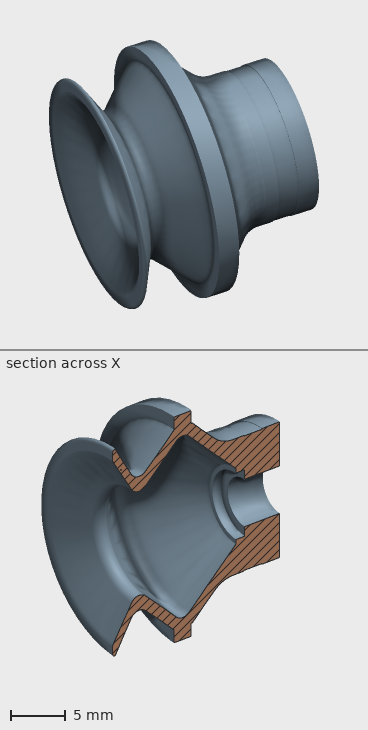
import cadquery as cq
import math


total_length = 19.0
collar_band_width = 2.0
flange_front = 7.0
flange_back = 9.0
flange_seat_width = 0.1
neck_y = 3.05
inner_lip_width = 0.1

flange_radius = 12.0
collar_radius = 7.22
relief_radius = 7.15
cone_base_radius = 10.63
neck_radius = 7.13
lip_radius = 11.0
lip_face_inner_radius = 9.82
inner_neck_radius = 5.5
cavity_end_radius = 4.0
counterbore_radius = 3.5
bore_radius = 2.5

lip_edge_round = 0.34
neck_round = 1.0
shoulder_round = 3.0
cavity_round = 1.0
bellows_angle = math.radians(45)
lip_angle = math.radians(60)


def arc_point(center, radius, angle):
    """Point (distance from axis, Y) on an arc about center.

    Angle 0 is the point nearest the axis and positive angles lean toward +Y.
    A negative radius gives the opposite point, on the side away from the axis.
    """
    return (center[0] - radius * math.cos(angle), center[1] + radius * math.sin(angle))


lip_edge_center = (lip_radius - lip_edge_round, lip_edge_round)
lip_edge_middle = arc_point(lip_edge_center, -lip_edge_round, math.radians(45))

neck_center = (neck_radius + neck_round, neck_y)
neck_front = arc_point(neck_center, neck_round, -lip_angle)
neck_back = arc_point(neck_center, neck_round, bellows_angle)
neck_bottom = arc_point(neck_center, neck_round, 0)

relief_back = total_length - collar_band_width
relief_front = relief_back - collar_band_width

rear_cone_start = (cone_base_radius, flange_back + flange_seat_width)
shoulder_rise = shoulder_round * (1 - math.cos(bellows_angle))
shoulder_end_radius = collar_radius + shoulder_rise
shoulder_end_y = rear_cone_start[1] + (cone_base_radius - shoulder_end_radius) / math.tan(bellows_angle)
shoulder_y = shoulder_end_y + shoulder_round * math.sin(bellows_angle)
shoulder_center = (collar_radius + shoulder_round, shoulder_y)
shoulder_end = arc_point(shoulder_center, shoulder_round, -bellows_angle)
shoulder_middle = arc_point(shoulder_center, shoulder_round, -bellows_angle / 2)
shoulder_start = arc_point(shoulder_center, shoulder_round, 0)

inner_center = (inner_neck_radius + neck_round, neck_y)
inner_front = arc_point(inner_center, neck_round, -lip_angle)
inner_back = arc_point(inner_center, neck_round, bellows_angle)
inner_bottom = arc_point(inner_center, neck_round, 0)
inner_lip_radius = inner_front[0] + (inner_front[1] - inner_lip_width) * math.tan(lip_angle)

fold_y = (flange_front + flange_back) / 2
fold_tip_radius = inner_back[0] + (fold_y - inner_back[1]) * math.tan(bellows_angle)
fold_center = (fold_tip_radius - cavity_round / math.cos(bellows_angle), fold_y)
fold_front = arc_point(fold_center, -cavity_round, bellows_angle)
fold_top = arc_point(fold_center, -cavity_round, 0)
fold_back = arc_point(fold_center, -cavity_round, -bellows_angle)
cavity_end_y = fold_y + (fold_tip_radius - cavity_end_radius) / math.tan(bellows_angle)

profile = (
    cq.Workplane("XY")
    .moveTo(lip_face_inner_radius, 0)
    .lineTo(lip_radius - lip_edge_round, 0)
    .threePointArc(lip_edge_middle, (lip_radius, lip_edge_round))
    .lineTo(*neck_front)
    .threePointArc(neck_bottom, neck_back)
    .lineTo(cone_base_radius, flange_front)
    .lineTo(flange_radius, flange_front)
    .lineTo(flange_radius, flange_back)
    .lineTo(cone_base_radius, flange_back)
    .lineTo(*rear_cone_start)
    .lineTo(*shoulder_end)
    .threePointArc(shoulder_middle, shoulder_start)
    .lineTo(collar_radius, relief_front)
    .lineTo(relief_radius, relief_front)
    .lineTo(relief_radius, relief_back)
    .lineTo(collar_radius, relief_back)
    .lineTo(collar_radius, total_length)
    .lineTo(bore_radius, total_length)
    .lineTo(bore_radius, relief_front)
    .lineTo(counterbore_radius, relief_front)
    .lineTo(counterbore_radius, cavity_end_y)
    .lineTo(cavity_end_radius, cavity_end_y)
    .lineTo(*fold_back)
    .threePointArc(fold_top, fold_front)
    .lineTo(*inner_back)
    .threePointArc(inner_bottom, inner_front)
    .lineTo(inner_lip_radius, inner_lip_width)
    .close()
)

result = profile.revolve(360, (0, 0, 0), (0, 1, 0))